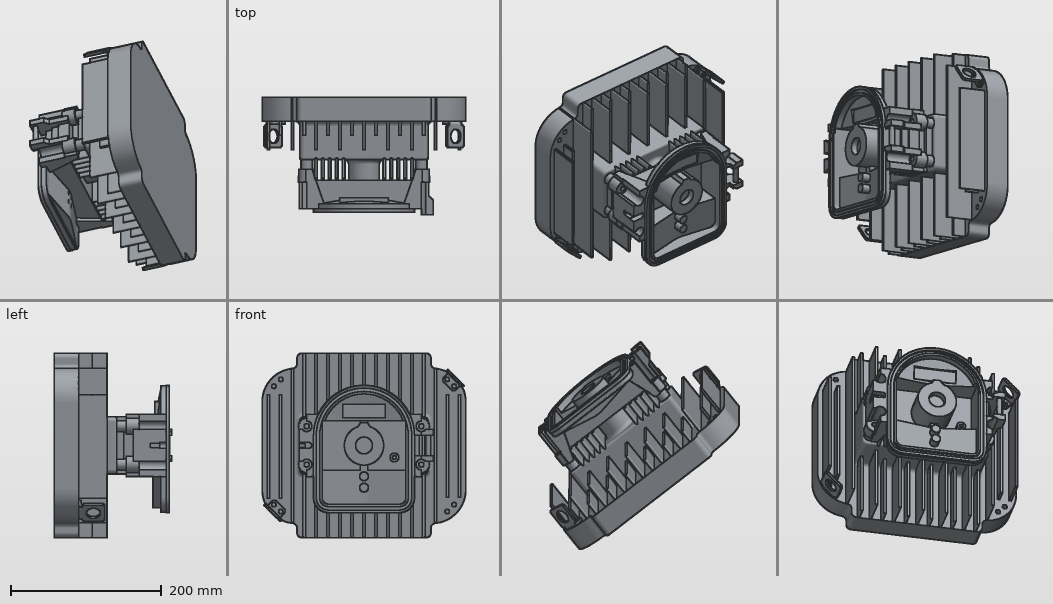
import cadquery as cq
import math


SELECT_MARGIN = 0.1

HOUSING_WIDTH = 270.51
HOUSING_HEIGHT = 245.11
PLATE_DEPTH = 32.3
SHOULDER_TOP = 102.5
SHOULDER_BOTTOM = -103.6
SHOULDER_RADIUS = 45.0
TAB_WIDTH = 178.0
TAB_CORNER = 7.0
TAB_ROOT_FILLET = 6.0

BOX_WIDTH = 170.5
BOX_HEIGHT = 76.2
BOX_DEPTH = 83.2
BOX_CORNER = 6.5
BOX_FRONT_FILLET = 3.0
BOX_BASE_FILLET = 6.0

FIN_PITCH = 15.85
FIN_THICKNESS = 3.4
FIN_END_FLAT = 0.2
LONG_FIN_DEPTH = 70.1
SHORT_FIN_DEPTH = 50.7
TALL_FIN_COUNT = 5
EDGE_FIN_THICKNESS = 3.2
EDGE_FIN_TOP = 67.0
EDGE_FIN_BOTTOM_LEFT = -70.3
EDGE_FIN_BOTTOM_RIGHT = -68.5

FRONT_FIN_FIRST = 27.0
FRONT_FIN_PITCH = 9.2
FRONT_FIN_COUNT = 5
FRONT_FIN_THICKNESS = 3.8
FRONT_FIN_DEPTH = 108.3

STEM_RADIUS = 20.5
STEM_FILLET = 5.5

SCREW_X = 76.1
SCREW_Z = 25.4
SCREW_RADIUS = 3.4
SCREW_HOLE_DEPTH = 10.0
POST_RADIUS = 7.6
POST_DEPTH = 95.4
POST_RIB_THICKNESS = 6.0
POST_RIB_DEPTH = 92.3

FLANGE_RADIUS = 67.1
FLANGE_ARC_Z = 12.8
FLANGE_BOTTOM = -89.4
FLANGE_CORNER = 20.0
FLANGE_BACK = 148.4
FLANGE_FRONT = 152.9
RIM_INSET = 0.5
RIM_BACK = 141.4
GROOVE_OUTER_INSET = 3.7
GROOVE_INNER_INSET = 8.3
GROOVE_DEPTH = 3.0
OPENING_INSET = 11.5
OPENING_FLOOR = 143.1

BLOCK_BACK = 110.0
WALL = 3.0
POCKET_HALF_HEIGHT = 32.8
BLOCK_HALF_HEIGHT = POCKET_HALF_HEIGHT + WALL
OPENING_HALF_WIDTH = FLANGE_RADIUS - OPENING_INSET
BLOCK_HALF_WIDTH = 63.9
VEE_HALF_WIDTH = OPENING_HALF_WIDTH + WALL

CONE_OUTER_RADIUS = 62.0
CONE_INNER_RADIUS = 12.0
CONE_SLOPE = 0.2

BUMP_WIDTH = 64.0
BUMP_TOP = 58.4
BUMP_BACK = 133.2
PANEL_WIDTH = 57.0
PANEL_BOTTOM = 36.9
PANEL_TOP = 54.7
PANEL_DEPTH = 138.5

VEE_BOTTOM = -82.7
VEE_BACK = 131.0
STRIP_HALF_WIDTH = 4.8
STRIP_FLOOR = VEE_BACK + WALL

HUB_RADIUS = 26.1
HUB_FRONT = FLANGE_FRONT
HUB_BORE_RADIUS = 11.2
HUB_BORE_DEPTH = 9.0
NECK_HALF_WIDTH = 8.7
NECK_BOTTOM = 24.0
NECK_TOP = 30.0
PIN_RADIUS = 5.8
PIN_HEIGHTS = (-41.0, -56.0)
PIN_FRONT = 146.0
NOZZLE_X = 40.3
NOZZLE_Z = -15.9
NOZZLE_BORE = 2.6
NOZZLE_FRONT = 120.0

EAR_HALF_HEIGHT = 41.5
EAR_BACK_INNER_X = 69.0
EAR_BACK_OUTER_X = 77.4
EAR_FRONT_INNER_X = 53.5
EAR_SLANT_FRONT = 140.0
EAR_BOSS_RADIUS = 10.8
EAR_BOSS_FRONT = 112.7
CHANNEL_RADIUS = 7.0
LUG_X = 86.1
LUG_HALF_HEIGHT = 21.3
LUG_BACK = 104.8
FIN_CLEARANCE = 0.4

KEY_WIDTH = 6.3
KEY_BACK = 127.5
KEY_CHAMFER = 1.0
KEY_INNER_X = 77.8
KEY_MOUTH_WIDTH = 8.0
KEY_MOUTH_BACK = 140.0
KEY_MOUTH_INNER_X = 69.4

HINGE_FRONT = 156.08
HINGE_OUTER_X = 92.0
HINGE_BACK = 131.0
HINGE_CORNER_BACK = 136.6
HINGE_GAP_HALF = 13.4
HINGE_ROD_X = 85.2
HINGE_ROD_RADIUS = 3.4
HINGE_ROD_DEPTH = 150.2
NOTCH_OPEN_X = 80.6
NOTCH_STEPS = (
    (73.3, 140.0),
    (77.4, 130.0),
    (NOTCH_OPEN_X, 120.0),
)

CLIP_X = 115.0
CLIP_Z = 83.1
CLIP_HOLE_SPACING = 13.0
CLIP_HOLE_RADIUS = 3.0
CLIP_HOLE_DEPTH = 10.0
CLIP_THICKNESS = 3.4
CLIP_BASE_WIDTH = 23.0
CLIP_BASE_INNER = 5.8
CLIP_LEG_OUTER = 9.8
CLIP_BASE_CORNER = 4.0
CLIP_LEG_WIDTH = 30.5
CLIP_LEG_BACK = 37.0
CLIP_LEG_FRONT = 67.0
CLIP_LEG_CHAMFER = 2.5
CLIP_BEND_RADIUS = 4.4
CLIP_EYE_RADIUS = 9.4


def at_depth(depth):
    """Sketch plane facing the front, with sketch axes X and Z, at the given depth."""
    return cq.Workplane("XZ", origin=(0, -depth, 0))


def block(x_range, z_range, depth_range):
    """Axis-aligned box from its X, Z and depth ranges."""
    (x0, x1), (z0, z1), (d0, d1) = x_range, z_range, depth_range
    middle = ((x0 + x1) / 2, (z0 + z1) / 2)
    return at_depth(d0).center(*middle).rect(x1 - x0, z1 - z0).extrude(d1 - d0)


def cylinder(x, z, radius, back, front):
    """Round bar running along the depth."""
    return at_depth(back).center(x, z).circle(radius).extrude(front - back)



def housing_plate():
    half_width = HOUSING_WIDTH / 2
    plate = block((-half_width, half_width), (SHOULDER_BOTTOM, SHOULDER_TOP), (0, PLATE_DEPTH))
    plate = plate.edges("|Y").fillet(SHOULDER_RADIUS)
    tab = at_depth(0).rect(TAB_WIDTH, HOUSING_HEIGHT).extrude(PLATE_DEPTH)
    plate = plate.union(tab.edges("|Y").fillet(TAB_CORNER))
    root_x = TAB_WIDTH / 2 + SELECT_MARGIN
    root_zone = cq.selectors.BoxSelector(
        (-root_x, -PLATE_DEPTH, SHOULDER_BOTTOM - SELECT_MARGIN),
        (root_x, 0, SHOULDER_TOP + SELECT_MARGIN),
    )
    return plate.edges("|Y").edges(root_zone).fillet(TAB_ROOT_FILLET)


def front_box():
    box = at_depth(0).rect(BOX_WIDTH, BOX_HEIGHT).extrude(BOX_DEPTH)
    return box.edges("|Y").fillet(BOX_CORNER).faces("<Y").edges().fillet(BOX_FRONT_FILLET)


def rounded_fin(x, z_range, thickness, back, front):
    """Upright fin with rounded top and bottom ends."""
    half = thickness / 2
    fin = block((x - half, x + half), z_range, (back, front))
    return fin.edges("|Y").fillet(half - FIN_END_FLAT / 2)


def tall_fins():
    outermost = TALL_FIN_COUNT + 1
    fins = cq.Workplane()
    for place in range(-outermost, outermost + 1):
        z_range = (-HOUSING_HEIGHT / 2, HOUSING_HEIGHT / 2)
        if abs(place) == outermost:
            z_range = (-SHOULDER_TOP, SHOULDER_TOP)
        depth = LONG_FIN_DEPTH if place % 2 == 0 else SHORT_FIN_DEPTH
        fins = fins.add(rounded_fin(place * FIN_PITCH, z_range, FIN_THICKNESS, 0, depth))
    return fins


def edge_fins():
    """Square-ended fins near the left and right edges; the inner one of each pair is short."""
    fins = cq.Workplane()
    for side, bottom in ((-1, EDGE_FIN_BOTTOM_LEFT), (1, EDGE_FIN_BOTTOM_RIGHT)):
        for place, depth in ((TALL_FIN_COUNT + 2, SHORT_FIN_DEPTH), (TALL_FIN_COUNT + 3, LONG_FIN_DEPTH)):
            x = side * place * FIN_PITCH
            half = EDGE_FIN_THICKNESS / 2
            fins = fins.add(block((x - half, x + half), (bottom, EDGE_FIN_TOP), (0, depth)))
    return fins


def front_fins():
    fins = cq.Workplane()
    back = BOX_DEPTH - BOX_FRONT_FILLET - FRONT_FIN_THICKNESS
    z_range = (-BOX_HEIGHT / 2, BOX_HEIGHT / 2)
    for side in (-1, 1):
        for place in range(FRONT_FIN_COUNT):
            x = side * (FRONT_FIN_FIRST + place * FRONT_FIN_PITCH)
            fins = fins.add(rounded_fin(x, z_range, FRONT_FIN_THICKNESS, back, FRONT_FIN_DEPTH))
    return fins


def stem():
    """Round stem behind the cover hub, with a flared root."""
    root = STEM_RADIUS + STEM_FILLET
    shoulder = BOX_DEPTH + STEM_FILLET
    bend = STEM_FILLET * (1 - math.sqrt(0.5))
    profile = (
        cq.Workplane("XY")
        .moveTo(0, -PLATE_DEPTH)
        .lineTo(root, -PLATE_DEPTH)
        .lineTo(root, -BOX_DEPTH)
        .threePointArc((STEM_RADIUS + bend, -BOX_DEPTH - bend), (STEM_RADIUS, -shoulder))
        .lineTo(STEM_RADIUS, -BLOCK_BACK)
        .lineTo(0, -BLOCK_BACK)
        .close()
    )
    return profile.revolve(360, (0, 0, 0), (0, 1, 0))


def post_pair(side):
    """Two screw posts on one side, joined by a low rib."""
    x = side * SCREW_X
    rib_half = POST_RIB_THICKNESS / 2
    pair = block((x - rib_half, x + rib_half), (-SCREW_Z, SCREW_Z), (PLATE_DEPTH, POST_RIB_DEPTH))
    for end in (-1, 1):
        pair = pair.union(cylinder(x, end * SCREW_Z, POST_RADIUS, PLATE_DEPTH, POST_DEPTH))
        hole = cylinder(x, end * SCREW_Z, SCREW_RADIUS, POST_DEPTH - SCREW_HOLE_DEPTH, POST_DEPTH)
        pair = pair.cut(hole)
    return pair


def clip_hole_places():
    """Centres of the two holes of the upper right clip; their row runs at 45 degrees."""
    step = CLIP_HOLE_SPACING / 2 * math.sqrt(0.5)
    return [(CLIP_X - step, CLIP_Z + step), (CLIP_X + step, CLIP_Z - step)]


def make_housing():
    body = housing_plate().union(front_box())
    root_x = BOX_WIDTH / 2 + SELECT_MARGIN
    root_z = BOX_HEIGHT / 2 + SELECT_MARGIN
    root_zone = cq.selectors.BoxSelector(
        (-root_x, -PLATE_DEPTH - SELECT_MARGIN, -root_z),
        (root_x, -PLATE_DEPTH + SELECT_MARGIN, root_z),
    )
    body = body.edges(root_zone).fillet(BOX_BASE_FILLET)
    for group in (tall_fins(), edge_fins(), front_fins()):
        for fin in group.vals():
            body = body.union(cq.Workplane(fin))
    body = body.union(stem())
    for side in (-1, 1):
        body = body.union(post_pair(side))
        for end in (-1, 1):
            for x, z in clip_hole_places():
                hole_back = PLATE_DEPTH - CLIP_HOLE_DEPTH
                body = body.cut(cylinder(side * x, end * z, CLIP_HOLE_RADIUS, hole_back, PLATE_DEPTH))
    return body



def arch(inset, back, front):
    """Arch-topped prism: the flange outline moved inward by the inset."""
    half = FLANGE_RADIUS - inset
    bottom = FLANGE_BOTTOM + inset
    outline = (
        at_depth(back)
        .moveTo(-half, bottom)
        .lineTo(half, bottom)
        .lineTo(half, FLANGE_ARC_Z)
        .threePointArc((0, FLANGE_ARC_Z + half), (-half, FLANGE_ARC_Z))
        .close()
    )
    prism = outline.extrude(front - back)
    return prism.edges("|Y and <Z").fillet(FLANGE_CORNER - inset)


def flange():
    plate = arch(0, FLANGE_BACK, FLANGE_FRONT).union(arch(RIM_INSET, RIM_BACK, FLANGE_BACK))
    groove_back = FLANGE_FRONT - GROOVE_DEPTH
    groove = arch(GROOVE_OUTER_INSET, groove_back, FLANGE_FRONT)
    return plate.cut(groove.cut(arch(GROOVE_INNER_INSET, groove_back, FLANGE_FRONT)))


def upper_cone(radius, front):
    """Half of a shallow cone behind the arch, narrowing toward the back."""
    rise = (radius - CONE_INNER_RADIUS) * CONE_SLOPE
    cone = cq.Solid.makeCone(
        radius, CONE_INNER_RADIUS, rise, cq.Vector(0, -front, FLANGE_ARC_Z), cq.Vector(0, 1, 0)
    )
    upper = block(
        (-FLANGE_RADIUS, FLANGE_RADIUS), (POCKET_HALF_HEIGHT, FLANGE_RADIUS * 2), (0, FLANGE_FRONT)
    )
    return upper.intersect(cq.Workplane(cone))


def lower_vee(half_width, middle_depth, side_depth, bottom):
    """Prism under the pocket, deepest along the middle strip and shallow at both sides."""
    front = FLANGE_BACK
    outline = [
        (-half_width, -front),
        (-half_width, -side_depth),
        (-STRIP_HALF_WIDTH, -middle_depth),
        (STRIP_HALF_WIDTH, -middle_depth),
        (half_width, -side_depth),
        (half_width, -front),
    ]
    top = -POCKET_HALF_HEIGHT
    return cq.Workplane("XY", origin=(0, 0, bottom)).polyline(outline).close().extrude(top - bottom)


def ear(side):
    """Side wall with its screw bosses and the middle lug."""
    outline = [
        (side * EAR_BACK_INNER_X, -POST_DEPTH),
        (side * EAR_BACK_OUTER_X, -POST_DEPTH),
        (side * EAR_BACK_OUTER_X, -EAR_BOSS_FRONT),
        (side * SCREW_X, -EAR_BOSS_FRONT),
        (side * SCREW_X, -FLANGE_BACK),
        (side * EAR_FRONT_INNER_X, -FLANGE_BACK),
        (side * EAR_FRONT_INNER_X, -EAR_SLANT_FRONT),
    ]
    base = cq.Workplane("XY", origin=(0, 0, -EAR_HALF_HEIGHT))
    body = base.polyline(outline).close().extrude(2 * EAR_HALF_HEIGHT)
    opening_x = (-EAR_BACK_OUTER_X, EAR_BACK_OUTER_X)
    body = body.cut(block(opening_x, (-SCREW_Z, SCREW_Z), (POST_DEPTH, LUG_BACK)))
    lug_x = sorted((side * EAR_BACK_INNER_X, side * LUG_X))
    body = body.union(block(lug_x, (-LUG_HALF_HEIGHT, LUG_HALF_HEIGHT), (LUG_BACK, FLANGE_BACK)))
    for end in (-1, 1):
        boss = cylinder(side * SCREW_X, end * SCREW_Z, EAR_BOSS_RADIUS, POST_DEPTH, EAR_BOSS_FRONT)
        body = body.union(boss)
    return body


def hinge_arms():
    outline = [
        (SCREW_X, -HINGE_BACK),
        (LUG_X, -HINGE_BACK),
        (HINGE_OUTER_X, -HINGE_CORNER_BACK),
        (HINGE_OUTER_X, -HINGE_FRONT),
        (SCREW_X, -HINGE_FRONT),
    ]
    base = cq.Workplane("XY", origin=(0, 0, -LUG_HALF_HEIGHT))
    return base.polyline(outline).close().extrude(2 * LUG_HALF_HEIGHT)


def hinge_gap():
    """Stepped opening between the two hinge arms."""
    height = (-HINGE_GAP_HALF, HINGE_GAP_HALF)
    gap = block((NOTCH_OPEN_X, HINGE_OUTER_X), height, (0, HINGE_FRONT))
    inner_x = FLANGE_RADIUS
    for outer_x, floor in NOTCH_STEPS:
        gap = gap.union(block((inner_x, outer_x), height, (floor, HINGE_FRONT)))
        inner_x = outer_x
    return gap


def hinge_rod():
    base = cq.Workplane("XY", origin=(HINGE_ROD_X, -HINGE_ROD_DEPTH, -HINGE_GAP_HALF))
    return base.circle(HINGE_ROD_RADIUS).extrude(2 * HINGE_GAP_HALF)


def screw_passages(side):
    """Screw holes and the open channels that lead to them from the front."""
    cuts = cq.Workplane()
    for end in (-1, 1):
        x, z = side * SCREW_X, end * SCREW_Z
        channel = cylinder(x, z, CHANNEL_RADIUS, EAR_BOSS_FRONT, HINGE_FRONT)
        cuts = cuts.add(channel.union(cylinder(x, z, SCREW_RADIUS, POST_DEPTH, EAR_BOSS_FRONT)))
    return cuts.combine()


def key_slot():
    """Slot in the left lug, with a wider round-ended mouth at the front."""
    slot_half = KEY_WIDTH / 2
    slot = block((-LUG_X, -KEY_INNER_X), (-slot_half, slot_half), (KEY_BACK, FLANGE_BACK))
    slot = slot.edges("|X and >Y").chamfer(KEY_CHAMFER)
    mouth_half = KEY_MOUTH_WIDTH / 2
    round_x = -KEY_MOUTH_INNER_X - mouth_half
    mouth = block((-LUG_X, round_x), (-mouth_half, mouth_half), (KEY_MOUTH_BACK, FLANGE_BACK))
    mouth = mouth.union(cylinder(round_x, 0, mouth_half, KEY_MOUTH_BACK, FLANGE_BACK))
    return slot.union(mouth)


def cover_shell():
    shell = flange()
    shell = shell.union(upper_cone(CONE_OUTER_RADIUS, RIM_BACK))
    half = BUMP_WIDTH / 2
    shell = shell.union(block((-half, half), (POCKET_HALF_HEIGHT, BUMP_TOP), (BUMP_BACK, OPENING_FLOOR)))
    shell = shell.union(
        block(
            (-BLOCK_HALF_WIDTH, BLOCK_HALF_WIDTH),
            (-BLOCK_HALF_HEIGHT, BLOCK_HALF_HEIGHT),
            (BLOCK_BACK, FLANGE_BACK),
        )
    )
    return shell.union(lower_vee(VEE_HALF_WIDTH, VEE_BACK, RIM_BACK, VEE_BOTTOM))


def cover_hollow():
    hollow = arch(OPENING_INSET, OPENING_FLOOR, FLANGE_FRONT)
    hollow = hollow.union(upper_cone(OPENING_HALF_WIDTH, OPENING_FLOOR))
    half = PANEL_WIDTH / 2
    panel = ((-half, half), (PANEL_BOTTOM, PANEL_TOP))
    hollow = hollow.union(block(*panel, (PANEL_DEPTH, FLANGE_BACK)))
    hollow = hollow.cut(block(*panel, (BUMP_BACK, PANEL_DEPTH)))
    hollow = hollow.union(
        block(
            (-OPENING_HALF_WIDTH, OPENING_HALF_WIDTH),
            (-POCKET_HALF_HEIGHT, POCKET_HALF_HEIGHT),
            (BLOCK_BACK + WALL, FLANGE_FRONT),
        )
    )
    vee = lower_vee(OPENING_HALF_WIDTH, STRIP_FLOOR, OPENING_FLOOR, FLANGE_BOTTOM + OPENING_INSET)
    return hollow.union(vee.intersect(arch(OPENING_INSET, VEE_BACK, FLANGE_FRONT)))


def hub():
    """Bored hub with a raised neck, on a rib that spans the pocket."""
    pocket_floor = BLOCK_BACK + WALL
    body = cylinder(0, 0, HUB_RADIUS, BLOCK_BACK, HUB_FRONT)
    neck = [
        (-NECK_HALF_WIDTH, NECK_BOTTOM),
        (-STRIP_HALF_WIDTH, NECK_TOP),
        (STRIP_HALF_WIDTH, NECK_TOP),
        (NECK_HALF_WIDTH, NECK_BOTTOM),
    ]
    body = body.union(at_depth(pocket_floor).polyline(neck).close().extrude(HUB_FRONT - pocket_floor))
    rib = block(
        (-STRIP_HALF_WIDTH, STRIP_HALF_WIDTH),
        (-POCKET_HALF_HEIGHT, POCKET_HALF_HEIGHT),
        (pocket_floor, STRIP_FLOOR),
    )
    body = body.union(rib)
    return body.cut(cylinder(0, 0, HUB_BORE_RADIUS, HUB_FRONT - HUB_BORE_DEPTH, HUB_FRONT))


def make_cover():
    body = cover_shell().union(ear(-1)).union(ear(1)).union(hinge_arms())
    body = body.cut(cover_hollow()).cut(hinge_gap()).cut(key_slot())
    for side in (-1, 1):
        body = body.cut(screw_passages(side))
    fin_x = FRONT_FIN_FIRST + (FRONT_FIN_COUNT - 1) * FRONT_FIN_PITCH
    room_x = fin_x + FRONT_FIN_THICKNESS / 2 + FIN_CLEARANCE
    room_z = BOX_HEIGHT / 2 + FIN_CLEARANCE
    body = body.cut(
        block((-room_x, room_x), (-room_z, room_z), (BOX_DEPTH, FRONT_FIN_DEPTH + FIN_CLEARANCE))
    )
    body = body.union(hub()).union(hinge_rod())
    for z in PIN_HEIGHTS:
        body = body.union(cylinder(0, z, PIN_RADIUS, VEE_BACK, PIN_FRONT))
    body = body.union(cylinder(NOZZLE_X, NOZZLE_Z, PIN_RADIUS, BLOCK_BACK, NOZZLE_FRONT))
    return body.cut(cylinder(NOZZLE_X, NOZZLE_Z, NOZZLE_BORE, BLOCK_BACK + WALL, NOZZLE_FRONT))



def make_clip(turn):
    """Angle clip on the housing plate; a turn of 0 degrees gives the upper right one."""
    half_base = CLIP_BASE_WIDTH / 2
    leg_inner = CLIP_LEG_OUTER - CLIP_THICKNESS
    base_front = PLATE_DEPTH + CLIP_THICKNESS
    base = block((-half_base, half_base), (-CLIP_BASE_INNER, CLIP_LEG_OUTER), (PLATE_DEPTH, base_front))
    base = base.edges("|Y and <Z").fillet(CLIP_BASE_CORNER)
    neck = block((-half_base, half_base), (leg_inner, CLIP_LEG_OUTER), (PLATE_DEPTH, CLIP_LEG_BACK))
    half_leg = CLIP_LEG_WIDTH / 2
    leg = block((-half_leg, half_leg), (leg_inner, CLIP_LEG_OUTER), (CLIP_LEG_BACK, CLIP_LEG_FRONT))
    leg = leg.edges("|Z").chamfer(CLIP_LEG_CHAMFER)
    eye_depth = (CLIP_LEG_BACK + CLIP_LEG_FRONT) / 2
    eye = cq.Workplane("XY", origin=(0, -eye_depth, leg_inner)).circle(CLIP_EYE_RADIUS)
    leg = leg.cut(eye.extrude(CLIP_THICKNESS))
    bend = base.union(neck).edges("|X and >Y and >Z").fillet(CLIP_BEND_RADIUS)
    clip = bend.union(leg)
    for end in (-1, 1):
        x = end * CLIP_HOLE_SPACING / 2
        clip = clip.cut(cylinder(x, 0, CLIP_HOLE_RADIUS, PLATE_DEPTH, base_front))
    clip = clip.rotate((0, 0, 0), (0, 1, 0), 45).translate((CLIP_X, 0, CLIP_Z))
    return clip.rotate((0, 0, 0), (0, 1, 0), turn)


housing = make_housing()
cover = make_cover()
clips = [make_clip(turn) for turn in (0, 180)]

bodies = [housing, cover, *clips]
result = cq.Compound.makeCompound([body.solids().val() for body in bodies])